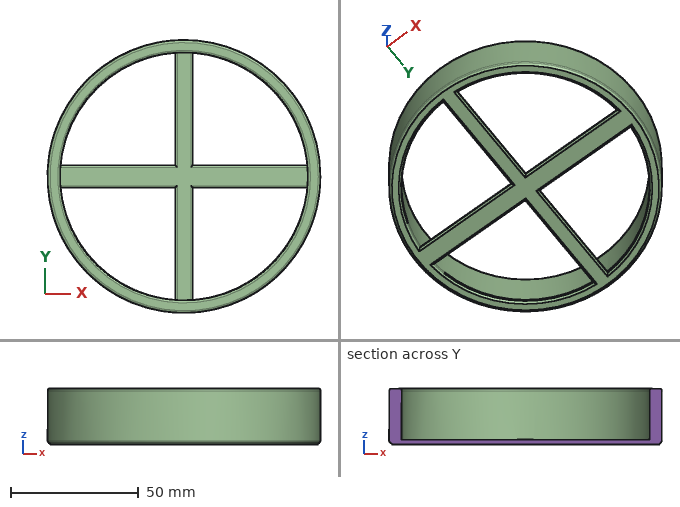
import cadquery as cq

outer_diameter = 107.0
inner_diameter = 97.0
ring_height = 22.0
top_rim_radius = 1.0
bottom_rim_chamfer = 1.2
bottom_rim_blend_radius = 1.0

bar_along_x_width = 8.9
bar_along_y_width = 7.0
cross_thickness = 2.0
cross_edge_radius = 0.9
cross_edge_chamfer = 0.9

bar_length = (outer_diameter + inner_diameter) / 2


def make_ring():
    """Plain ring standing on Z = 0 with rounded top rims and blended chamfers on the bottom rims."""
    ring = (
        cq.Workplane("XY")
        .circle(outer_diameter / 2)
        .circle(inner_diameter / 2)
        .extrude(ring_height)
    )
    ring = ring.faces(">Z").edges().fillet(top_rim_radius)
    ring = ring.faces("<Z").edges().chamfer(bottom_rim_chamfer)
    chamfer_top = cq.selectors.BoxSelector(
        (-outer_diameter, -outer_diameter, bottom_rim_chamfer / 2),
        (outer_diameter, outer_diameter, bottom_rim_chamfer * 1.5),
        boundingbox=True,
    )
    return ring.edges(chamfer_top).fillet(bottom_rim_blend_radius)


def make_bar(length_x, length_y):
    """Flat bar centred on the ring axis, resting on Z = 0."""
    return cq.Workplane("XY").box(length_x, length_y, cross_thickness, centered=(True, True, False))


def make_cross():
    """Two crossing bars with rounded upper edges and chamfered lower edges."""
    cross = make_bar(bar_length, bar_along_x_width).union(make_bar(bar_along_y_width, bar_length))
    cross = cross.faces(">Z").edges().fillet(cross_edge_radius)
    return cross.faces("<Z").edges().chamfer(cross_edge_chamfer)


result = make_ring().union(make_cross())